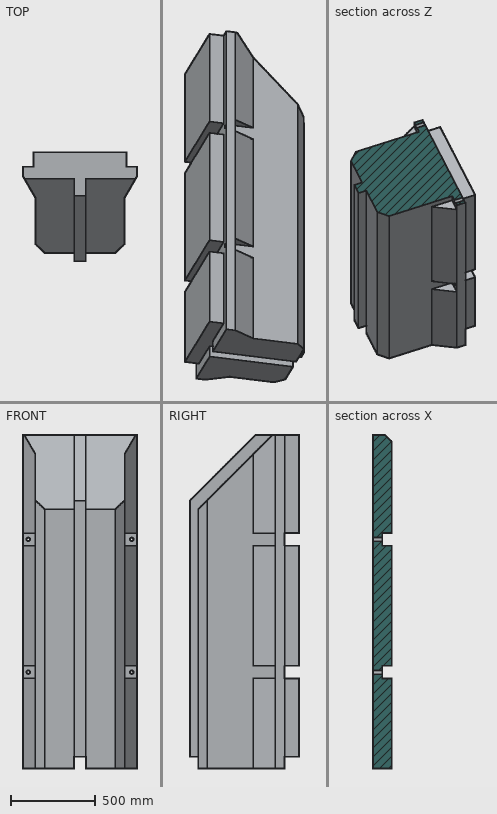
import cadquery as cq

height = 1975.0
depth = 648.0
flange_width = 677.0

back_width = 553.0
body_width = 527.0
nose_width = 417.0
flange_back = 87.0
flange_front = 142.0
flare_end = 272.0
chamfer_start = 545.0
body_front = 598.0

rib_width = 70.0
bottom_step = 70.0
body_slope_start = 158.0
rib_slope_start = 259.0

gap_height = 75.0
gap_centres = (570.0, 1356.0)
hole_spacing = 612.0
hole_diameter = 20.0


def block(width, near, far, bottom, top):
    """Block centred on X between two distances forward of the back."""
    return cq.Workplane("XY").box(width, far - near, top - bottom).translate(
        (0, -(near + far) / 2, (bottom + top) / 2)
    )


def sloped_plate(width, front, slope_start, bottom):
    """Side profile with a 45-degree front slope, extruded across X."""
    shoulder = height - (front - slope_start)
    profile = [(0, bottom), (-front, bottom), (-front, shoulder), (-slope_start, height), (0, height)]
    return cq.Workplane("YZ").polyline(profile).close().extrude(width / 2, both=True)


def make_body():
    """Flanged column with flared sides, trimmed by the sloping top."""
    half_section = [
        (back_width / 2, 0),
        (back_width / 2, -flange_back),
        (flange_width / 2, -flange_back),
        (flange_width / 2, -flange_front),
        (body_width / 2, -flare_end),
        (body_width / 2, -chamfer_start),
        (nose_width / 2, -body_front),
    ]
    mirrored = [(-x, y) for x, y in reversed(half_section)]
    column = cq.Workplane("XY").polyline(half_section + mirrored).close().extrude(height)
    return column.intersect(sloped_plate(flange_width, body_front, body_slope_start, 0))


def cut_bottom(body):
    """Shorten the back strip and open the slot below the rib."""
    body = body.cut(block(back_width, 0, flange_back, 0, bottom_step))
    return body.cut(block(rib_width, 0, depth, 0, bottom_step))


def cut_mounting_gap(body, centre):
    """Cut a back groove, flat seats on both flanges and their bolt holes."""
    bottom = centre - gap_height / 2
    top = centre + gap_height / 2
    body = body.cut(block(back_width, 0, flange_back, bottom, top))
    seats = block(flange_width, flange_front, flare_end, bottom, top)
    seats = seats.cut(block(body_width, flange_front, flare_end, bottom, top))
    holes = (
        cq.Workplane("XZ")
        .pushPoints([(-hole_spacing / 2, centre), (hole_spacing / 2, centre)])
        .circle(hole_diameter / 2)
        .extrude(flare_end)
    )
    return body.cut(seats).cut(holes)


result = cut_bottom(make_body())
for gap_centre in gap_centres:
    result = cut_mounting_gap(result, gap_centre)

rib = sloped_plate(rib_width, depth, rib_slope_start, bottom_step)
rib = rib.cut(block(rib_width, 0, flange_back, 0, height))
result = result.union(rib)